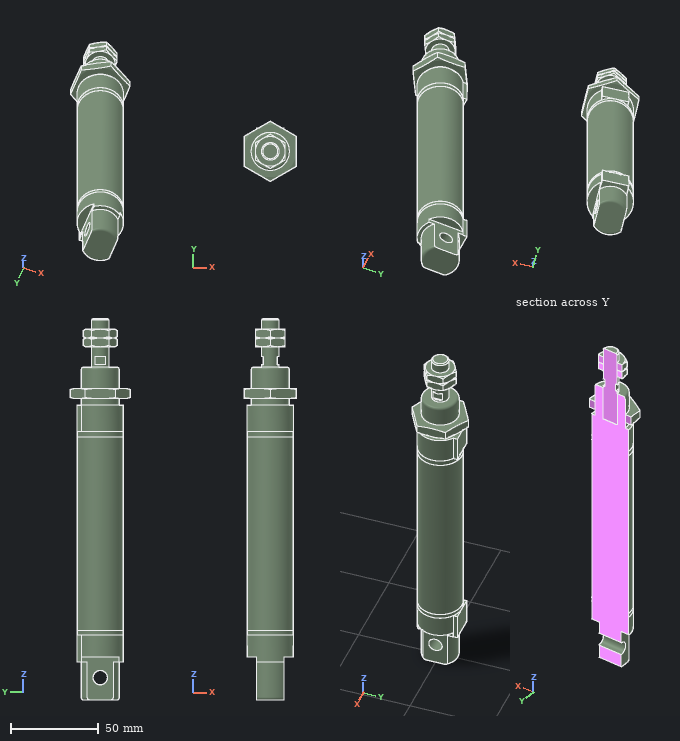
import cadquery as cq
import math

total_length = 219.0
hex_sides = 6
hex_half_angle = 180 / hex_sides
hex_corner_ratio = 1 / math.cos(math.radians(hex_half_angle))

barrel_diameter = 26.5
cap_diameter = 26.7
band_diameter = (barrel_diameter + cap_diameter) / 2
rear_cap_bottom = 22.0
rear_cap_top = 37.5
rear_band_top = 40.0
front_band_bottom = 151.0
front_cap_bottom = 154.2
front_cap_top = 169.3

port_pad_width = 15.5

neck_diameter = 22.0
neck_top = 191.2
end_rounding = 1.5
tail_flats = 16.0
tail_flats_top = 24.7
clevis_hole_diameter = 8.0
clevis_hole_height = 13.0

rod_diameter = 10.0
rod_tip_diameter = 8.5
rod_flats = 8.0
rod_flats_bottom = 192.5
rod_flats_top = 197.0

mounting_nut_flats = 30.0
mounting_nut_height = 6.0
mounting_nut_bottom = 173.0
mounting_nut_chamfer_angle = 15.0
rod_nut_flats = 17.0
rod_nut_height = 5.0
rod_nut_count = 2
rod_nut_bottom = 202.8
rod_nut_chamfer_angle = 30.0


def cylinder(diameter, bottom, top):
    return cq.Workplane("XY").workplane(offset=bottom).circle(diameter / 2).extrude(top - bottom)


def side_cutters(flats, bottom, top):
    """Two blocks that leave a pair of flats facing -X and +X."""
    block_size = cap_diameter
    return (
        cq.Workplane("XY")
        .workplane(offset=bottom)
        .pushPoints([(side * (flats + block_size) / 2, 0) for side in (-1, 1)])
        .rect(block_size, 2 * block_size)
        .extrude(top - bottom)
    )


def end_cap(bottom, top):
    """Round cap with a flat-topped port pad on its +Y side."""
    pad_reach = cap_diameter / 2
    pad = (
        cq.Workplane("XY")
        .workplane(offset=bottom)
        .center(0, pad_reach / 2)
        .rect(port_pad_width, pad_reach)
        .extrude(top - bottom)
    )
    return cylinder(cap_diameter, bottom, top).union(pad)


def make_housing():
    tail = cylinder(neck_diameter, 0, rear_cap_bottom)
    tail = tail.faces("<Z").edges().fillet(end_rounding)
    rear = tail.union(end_cap(rear_cap_bottom, rear_cap_top))
    rear = rear.cut(side_cutters(tail_flats, 0, tail_flats_top))

    barrel = cylinder(barrel_diameter, rear_cap_top, front_cap_bottom)
    barrel = barrel.union(cylinder(band_diameter, rear_cap_top, rear_band_top))
    barrel = barrel.union(cylinder(band_diameter, front_band_bottom, front_cap_bottom))

    neck = cylinder(neck_diameter, front_cap_top, neck_top)
    neck = neck.faces(">Z").edges().fillet(end_rounding)
    front = end_cap(front_cap_bottom, front_cap_top).union(neck)

    clevis_hole = (
        cq.Workplane("YZ")
        .center(0, clevis_hole_height)
        .circle(clevis_hole_diameter / 2)
        .extrude(tail_flats, both=True)
    )
    rod_bore = cylinder(rod_diameter, front_cap_top, neck_top)
    return rear.union(barrel).union(front).cut(clevis_hole).cut(rod_bore)


def make_rod():
    tip_chamfer = (rod_diameter - rod_tip_diameter) / 2
    rod = cylinder(rod_diameter, front_cap_top, total_length)
    rod = rod.faces(">Z").chamfer(tip_chamfer)
    return rod.cut(side_cutters(rod_flats, rod_flats_bottom, rod_flats_top))


def make_nut(flats, height, bore, chamfer_angle, bottom):
    """Hex nut with two corners on Y and its corners chamfered at both ends."""
    corner_radius = flats * hex_corner_ratio / 2
    rim_radius = flats / 2
    chamfer_height = (corner_radius - rim_radius) * math.tan(math.radians(chamfer_angle))
    chamfer_envelope = (
        cq.Workplane("XZ")
        .moveTo(0, 0)
        .lineTo(rim_radius, 0)
        .lineTo(corner_radius, chamfer_height)
        .lineTo(corner_radius, height - chamfer_height)
        .lineTo(rim_radius, height)
        .lineTo(0, height)
        .close()
        .revolve(360, (0, 0, 0), (0, 1, 0))
    )
    nut = (
        cq.Workplane("XY")
        .polygon(hex_sides, 2 * corner_radius)
        .extrude(height)
        .rotate((0, 0, 0), (0, 0, 1), hex_half_angle)
        .intersect(chamfer_envelope)
        .cut(cylinder(bore, 0, height))
    )
    return nut.translate((0, 0, bottom))


housing = make_housing()
rod = make_rod()
mounting_nut = make_nut(
    mounting_nut_flats,
    mounting_nut_height,
    neck_diameter,
    mounting_nut_chamfer_angle,
    mounting_nut_bottom,
)
rod_nuts = [
    make_nut(
        rod_nut_flats,
        rod_nut_height,
        rod_diameter,
        rod_nut_chamfer_angle,
        rod_nut_bottom + index * rod_nut_height,
    )
    for index in range(rod_nut_count)
]

result = cq.Compound.makeCompound(
    [housing.val(), rod.val(), mounting_nut.val(), *[nut.val() for nut in rod_nuts]]
)